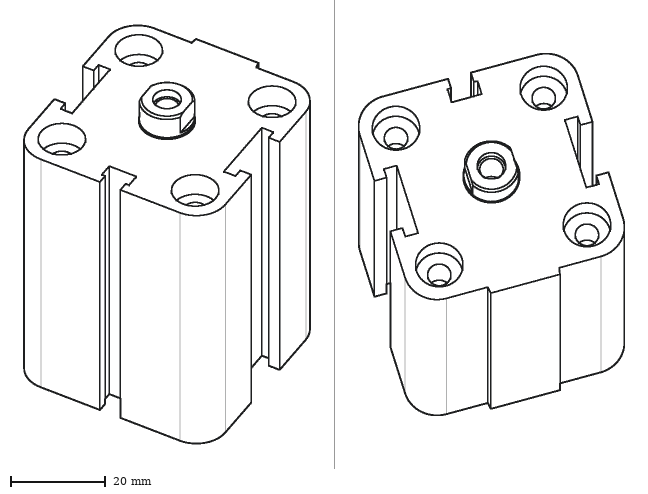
import cadquery as cq

total_height = 70.5
rod_projection = 6.0
housing_height = total_height - rod_projection
housing_side = 48.0
half_side = housing_side / 2
corner_radius = 7.05
cap_height = 14.5

rib_height = 1.5
rib_root_width = 15.7
rib_crest_width = 15.2

side_mouth_width = 12.0
side_slot_width = 16.1
side_lip = 2.7
side_slot_depth = 5.5
front_mouth_width = 5.0
front_slot_width = 6.6
front_lip = 2.25
front_slot_depth = 5.35

hole_spacing = 32.5
counterbore_diameter = 10.0
counterbore_depth = 5.6
hole_diameter = 4.9
hole_depth = cap_height

rod_diameter = 12.0
shoulder_height = 0.35
head_diameter = 11.7
shoulder_chamfer = (rod_diameter - head_diameter) / 2
head_chamfer = 0.5
flats_width = 10.0
flats_base = 1.05
thread_diameter = 4.9
thread_depth = 12.0
thread_relief_diameter = 6.0
thread_relief_depth = 2.0


def t_slot(mouth_width, slot_width, lip, depth):
    """T-slot cutter for the -Y face: a narrow mouth that opens into a wider channel."""
    mouth = cq.Workplane("XY").rect(mouth_width, 2 * lip).extrude(housing_height)
    channel_depth = depth - lip
    channel = (
        cq.Workplane("XY")
        .center(0, lip + channel_depth / 2)
        .rect(slot_width, channel_depth)
        .extrude(housing_height)
    )
    return mouth.union(channel).translate((0, -half_side, 0))


def back_rib():
    """Trapezoidal rib on the +Y face."""
    crest_y = half_side + rib_height
    return (
        cq.Workplane("XY")
        .moveTo(-rib_root_width / 2, 0)
        .lineTo(-rib_root_width / 2, half_side)
        .lineTo(-rib_crest_width / 2, crest_y)
        .lineTo(rib_crest_width / 2, crest_y)
        .lineTo(rib_root_width / 2, half_side)
        .lineTo(rib_root_width / 2, 0)
        .close()
        .extrude(housing_height)
    )


def make_housing():
    """Cylinder housing: profiled block with T-slots, corner holes and a bore for the rod."""
    body = (
        cq.Workplane("XY")
        .rect(housing_side, housing_side)
        .extrude(housing_height)
        .edges("|Z")
        .fillet(corner_radius)
        .union(back_rib())
    )

    body = body.cut(t_slot(front_mouth_width, front_slot_width, front_lip, front_slot_depth))
    side_slot = t_slot(side_mouth_width, side_slot_width, side_lip, side_slot_depth)
    for angle in (-90, 90):
        body = body.cut(side_slot.rotate((0, 0, 0), (0, 0, 1), angle))

    top = cq.Workplane("XY").workplane(offset=housing_height)
    corner_holes = (
        top.rect(hole_spacing, hole_spacing, forConstruction=True)
        .vertices()
        .circle(hole_diameter / 2)
        .extrude(-hole_depth)
    )
    counterbores = (
        top.rect(hole_spacing, hole_spacing, forConstruction=True)
        .vertices()
        .circle(counterbore_diameter / 2)
        .extrude(-counterbore_depth)
    )
    rod_bore = top.circle(rod_diameter / 2).extrude(-cap_height)
    return body.cut(corner_holes).cut(counterbores).cut(rod_bore)


def make_rod():
    """Piston rod: shank in the bore, chamfered head with two wrench flats and a threaded hole."""
    shank = (
        cq.Workplane("XY")
        .workplane(offset=housing_height - cap_height)
        .circle(rod_diameter / 2)
        .extrude(cap_height + shoulder_height)
        .faces(">Z")
        .chamfer(shoulder_chamfer)
    )
    head = (
        cq.Workplane("XY")
        .workplane(offset=housing_height + shoulder_height)
        .circle(head_diameter / 2)
        .extrude(rod_projection - shoulder_height)
        .faces(">Z")
        .chamfer(head_chamfer)
    )
    rod = shank.union(head)

    for side in (-1, 1):
        flat = (
            cq.Workplane("XY")
            .workplane(offset=housing_height + flats_base)
            .center(side * (flats_width + rod_diameter) / 2, 0)
            .rect(rod_diameter, rod_diameter)
            .extrude(rod_projection)
        )
        rod = rod.cut(flat)

    top = cq.Workplane("XY").workplane(offset=total_height)
    thread = top.circle(thread_diameter / 2).extrude(-thread_depth)
    relief = top.circle(thread_relief_diameter / 2).extrude(-thread_relief_depth)
    return rod.cut(thread).cut(relief)


housing = make_housing()
rod = make_rod()
result = cq.Compound.makeCompound([housing.val(), rod.val()])